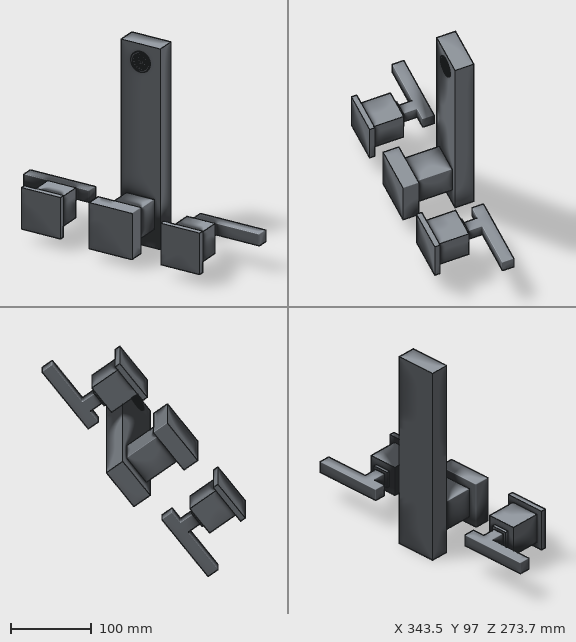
import cadquery as cq


overall_width = 343.5
overall_depth = 97.0
handle_spacing = 202.5

arm_width = 57.0
arm_depth = 25.5
arm_height = 273.7
arm_below_axis = 46.5
stem_size = 41.0
stem_fillet = 0.7
hub_size = 63.2
hub_depth = 21.5
hub_fillet = 1.0

aerator_diameter = 28.0
aerator_height = 1.7
aerator_chamfer = 0.7
aerator_drop = 24.0
recess_diameter = 22.3
recess_depth = 0.7
opening_depth = 0.7
slot_width = 1.5
slot_count = 16
slot_inner_radius = 7.2
slot_outer_radius = 10.5
ring_hole_count = 8
ring_hole_diameter = 2.5
ring_hole_radius = 4.8
center_hole_diameter = 3.0

plate_size = 56.5
plate_depth = 7.2
boss_size = 41.0
boss_end = 49.5
collar_size = 22.3
collar_depth = 4.5
neck_width = 15.8
lever_size = 16.0
lever_inset = 7.5
lever_inner_reach = 25.5
lever_fillet = 0.85

arm_front = overall_depth - arm_depth
aerator_z = arm_height - arm_below_axis - aerator_drop
aerator_face = arm_front - aerator_height
recess_floor = aerator_face + recess_depth
opening_floor = recess_floor + opening_depth


def block(width, height, y_start, y_end):
    """Box centred on X = 0, Z = 0 between two Y positions."""
    depth = y_end - y_start
    return cq.Workplane("XY").box(width, depth, height).translate((0, y_start + depth / 2, 0))


def cylinder(diameter, y_start, y_end):
    """Round bar along +Y, centred on X = 0, Z = 0."""
    return (
        cq.Workplane("XZ", origin=(0, y_start, 0))
        .circle(diameter / 2)
        .extrude(y_start - y_end)
    )


def aerator_slot(angle):
    """Narrow radial slot through the recess floor, turned about the aerator axis."""
    length = slot_outer_radius - slot_inner_radius
    slot = block(length, slot_width, aerator_face, opening_floor)
    slot = slot.translate(((slot_inner_radius + slot_outer_radius) / 2, 0, 0))
    return slot.rotate((0, 0, 0), (0, 1, 0), angle)


def aerator_ring_hole(angle):
    """Round hole of the inner ring, turned about the aerator axis."""
    hole = cylinder(ring_hole_diameter, aerator_face, opening_floor)
    return hole.translate((ring_hole_radius, 0, 0)).rotate((0, 0, 0), (0, 1, 0), angle)


def make_aerator():
    """Round outlet with a recessed floor that carries slots, holes and a center hole."""
    body = cylinder(aerator_diameter, aerator_face, arm_front)
    body = body.faces("<Y").edges().chamfer(aerator_chamfer)
    body = body.cut(cylinder(recess_diameter, aerator_face, recess_floor))
    for index in range(slot_count):
        body = body.cut(aerator_slot(index * 360 / slot_count))
    for index in range(ring_hole_count):
        body = body.cut(aerator_ring_hole(index * 360 / ring_hole_count))
    return body.cut(cylinder(center_hole_diameter, aerator_face, opening_floor))


def make_spout():
    """Tall arm with its aerator, joined by a square stem to the wall hub."""
    arm = block(arm_width, arm_height, arm_front, overall_depth)
    arm = arm.translate((0, 0, arm_height / 2 - arm_below_axis))
    stem = block(stem_size, stem_size, hub_depth, arm_front).edges("|Y or >Y").fillet(stem_fillet)
    hub = block(hub_size, hub_size, 0, hub_depth).edges("|Y or >Y").fillet(hub_fillet)
    aerator = make_aerator().translate((0, 0, aerator_z))
    return arm.union(stem).union(hub).union(aerator)


def make_handle(side):
    """Handle on the -X (side = -1) or +X (side = 1) side, lever pointing outward."""
    plate = block(plate_size, plate_size, 0, plate_depth)
    boss = block(boss_size, boss_size, plate_depth, boss_end)
    collar_end = boss_end + collar_depth
    collar = block(collar_size, collar_size, boss_end, collar_end)
    lever_back = overall_depth - lever_inset
    lever_reach = (overall_width - handle_spacing) / 2
    lever_front = lever_back - lever_size
    lever = block(lever_inner_reach + lever_reach, lever_size, lever_front, lever_back)
    lever = lever.translate((side * (lever_reach - lever_inner_reach) / 2, 0, 0))
    neck = block(neck_width, lever_size, collar_end, lever_front)
    grip = lever.union(neck).edges().fillet(lever_fillet)
    handle = plate.union(boss).union(collar).union(grip)
    return handle.translate((side * handle_spacing / 2, 0, 0))


spout = make_spout()
handles = [make_handle(side) for side in (-1, 1)]
result = cq.Compound.makeCompound([spout.val(), *[handle.val() for handle in handles]])